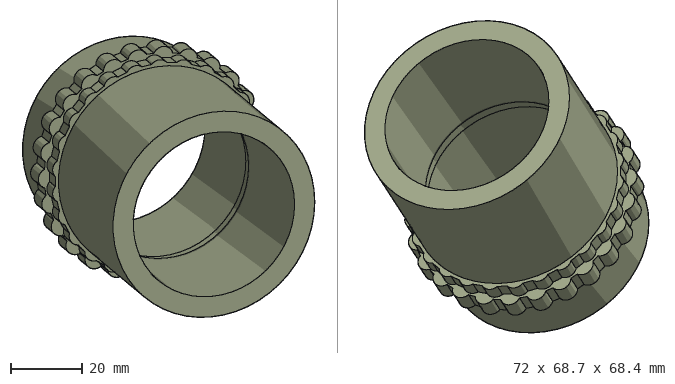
import cadquery as cq
import math

LENGTH = 72.0

FRONT_DIAMETER = 59.6
FRONT_BORE = 50.0
FRONT_RING_START = 18.15
FRONT_RING_WIDTH = 6.0
FRONT_RING_ROOT = 65.0
FRONT_RING_TIP = 68.7
FRONT_TOOTH_ANGLE = 1.2

REAR_DIAMETER = 60.6
REAR_BORE = 48.45
SHOULDER_START = 36.0
SHOULDER_DEPTH = 0.09
SHOULDER_INNER = 48.95
REAR_START = 24.85
REAR_RING_WIDTH = 4.5
REAR_RING_ROOT = 62.5
REAR_RING_TIP = 64.5

TOOTH_COUNT = 26
TOOTH_PITCH = 360 / TOOTH_COUNT
TOOTH_RADIUS = 3.0
REAR_TOOTH_ANGLE = TOOTH_PITCH / 2

SPIGOT_DIAMETER = 58.0
SPIGOT_END = 32.0


def cylinder(diameter, start, end):
    """Solid cylinder about the X axis from X = start to X = end."""
    return cq.Workplane("YZ", origin=(start, 0, 0)).circle(diameter / 2).extrude(end - start)


def grip_ring(root_diameter, tip_diameter, start, width, first_tooth_angle):
    """Disc with round grip teeth; angles are measured from +Y towards +Z."""
    root_radius = root_diameter / 2
    tip_radius = tip_diameter / 2
    centre_radius = tip_radius - TOOTH_RADIUS
    half_angle = math.degrees(math.acos(
        (root_radius**2 + centre_radius**2 - TOOTH_RADIUS**2) / (2 * root_radius * centre_radius)
    ))

    def polar(radius, angle):
        turn = math.radians(angle)
        return (radius * math.cos(turn), radius * math.sin(turn))

    outline = cq.Workplane("YZ", origin=(start, 0, 0))
    outline = outline.moveTo(*polar(root_radius, first_tooth_angle - half_angle))
    for index in range(TOOTH_COUNT):
        tooth = first_tooth_angle + index * TOOTH_PITCH
        outline = outline.threePointArc(polar(tip_radius, tooth), polar(root_radius, tooth + half_angle))
        outline = outline.threePointArc(
            polar(root_radius, tooth + TOOTH_PITCH / 2),
            polar(root_radius, tooth + TOOTH_PITCH - half_angle),
        )
    return outline.close().extrude(width)


def rear_bore():
    """Entry bore flush with the front bore, a shallow conical shoulder, then the narrower rear bore."""
    entry = cylinder(FRONT_BORE, REAR_START, SHOULDER_START)
    shoulder = cq.Workplane(obj=cq.Solid.makeCone(
        FRONT_BORE / 2, SHOULDER_INNER / 2, SHOULDER_DEPTH,
        cq.Vector(SHOULDER_START, 0, 0), cq.Vector(1, 0, 0),
    ))
    outlet = cylinder(REAR_BORE, SHOULDER_START, LENGTH)
    return entry.union(shoulder).union(outlet)


def make_front_sleeve():
    tube = cylinder(FRONT_DIAMETER, 0, REAR_START)
    ring = grip_ring(
        FRONT_RING_ROOT, FRONT_RING_TIP, FRONT_RING_START, FRONT_RING_WIDTH, FRONT_TOOTH_ANGLE
    )
    spigot = cylinder(SPIGOT_DIAMETER, FRONT_RING_START, SPIGOT_END)
    bore = cylinder(FRONT_BORE, 0, SPIGOT_END)
    return tube.union(ring).union(spigot).cut(bore)


def make_rear_sleeve():
    tube = cylinder(REAR_DIAMETER, REAR_START, LENGTH)
    ring = grip_ring(
        REAR_RING_ROOT, REAR_RING_TIP, REAR_START, REAR_RING_WIDTH, REAR_TOOTH_ANGLE
    )
    socket = cylinder(SPIGOT_DIAMETER, REAR_START, SPIGOT_END)
    bore = rear_bore()
    return tube.union(ring).cut(socket).cut(bore)


front_sleeve = make_front_sleeve()
rear_sleeve = make_rear_sleeve()

result = cq.Compound.makeCompound([front_sleeve.solids().val(), rear_sleeve.solids().val()])